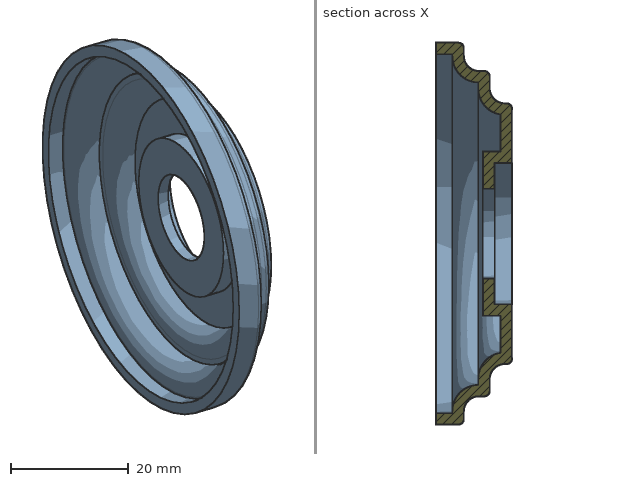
import cadquery as cq
import math

total_height = 13.0
rim_radius = 32.51
wall = 2.0
edge_fillet = 1.0

rim_height = 4.8
ledge_height = 9.2

cove_radius = 2.5
inner_curve_radius = cove_radius + wall
lower_cove_center = (30.2, rim_height + cove_radius)
upper_cove_center = (24.7, ledge_height + cove_radius)

boss_radius = 14.0
boss_height = 3.0
hole_radius = 7.6

rim_inner_radius = rim_radius - wall
floor_height = total_height - wall
boss_face = floor_height - boss_height
recess_radius = boss_radius - wall
recess_floor = boss_face + wall


def point_on_arc(center, radius, angle):
    """Point at an angle in degrees, measured from the outward radial direction."""
    turn = math.radians(angle)
    return (center[0] + radius * math.cos(turn), center[1] + radius * math.sin(turn))


def add_step(profile, radius, top):
    """Vertical outer wall up to a rounded edge at the given top height."""
    round_center = (radius - edge_fillet, top - edge_fillet)
    return (
        profile.lineTo(radius, top - edge_fillet)
        .threePointArc(point_on_arc(round_center, edge_fillet, 45), (radius - edge_fillet, top))
    )


def add_cove(profile, center):
    """Flat ledge into a concave quarter round that rises to the next wall."""
    return (
        profile.lineTo(center[0], center[1] - cove_radius)
        .threePointArc(point_on_arc(center, cove_radius, 225), (center[0] - cove_radius, center[1]))
    )


def add_inner_curve(profile, center, top):
    """Curve concentric with a cove, from the flat above it down to its lowest point."""
    start_angle = 180 + math.degrees(math.asin((center[1] - top) / inner_curve_radius))
    middle_angle = (start_angle + 270) / 2
    return (
        profile.lineTo(*point_on_arc(center, inner_curve_radius, start_angle))
        .threePointArc(
            point_on_arc(center, inner_curve_radius, middle_angle),
            (center[0], center[1] - inner_curve_radius),
        )
    )


def cover_profile():
    profile = cq.Workplane("XY").moveTo(rim_inner_radius, 0).lineTo(rim_radius, 0)
    profile = add_step(profile, rim_radius, rim_height)
    profile = add_cove(profile, lower_cove_center)
    profile = add_step(profile, lower_cove_center[0] - cove_radius, ledge_height)
    profile = add_cove(profile, upper_cove_center)
    profile = add_step(profile, upper_cove_center[0] - cove_radius, total_height)

    profile = profile.lineTo(recess_radius, total_height).lineTo(recess_radius, recess_floor)
    profile = profile.lineTo(hole_radius, recess_floor).lineTo(hole_radius, boss_face)
    profile = profile.lineTo(boss_radius, boss_face).lineTo(boss_radius, floor_height)

    profile = add_inner_curve(profile, upper_cove_center, floor_height)
    profile = add_inner_curve(profile, lower_cove_center, ledge_height - wall)
    profile = profile.lineTo(rim_inner_radius, rim_height - wall)
    return profile.close()


result = cover_profile().revolve(360, (0, 0, 0), (0, 1, 0))